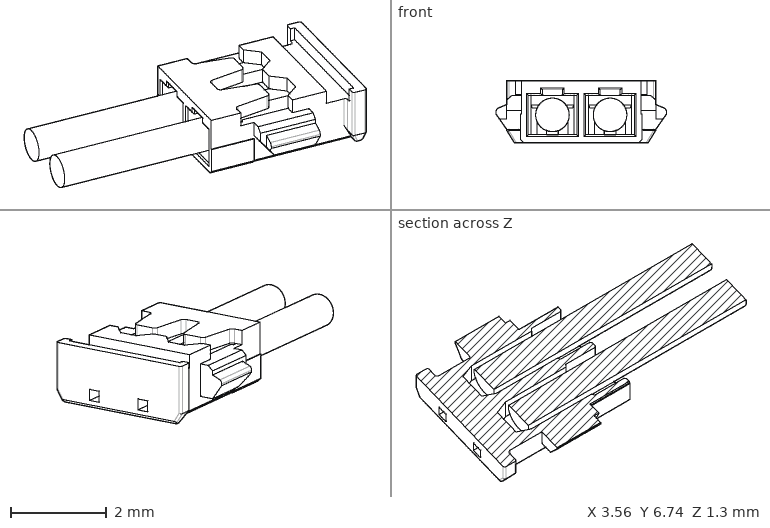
import cadquery as cq


HEIGHT = 1.3
LENGTH = 3.48
BODY_WIDTH = 2.5
BODY_EDGE_CHAMFER = 0.075
SKIRT_WIDTH = 2.54
SKIRT_LENGTH = 0.995
SKIRT_HEIGHT = 0.605

DECK_Z = 0.99
HOOD_LENGTH = 0.69
BRIDGE_FRONT_Y = 1.89
BRIDGE_REAR_Y = 2.685
GROOVE_Z = 1.01

FLANGE_WIDTH = 3.11
FLANGE_THICKNESS = 0.33
FLANGE_FRONT_Y = LENGTH - FLANGE_THICKNESS
FLANGE_EDGE_RADIUS = 0.05
FLANGE_ROOT_RADIUS = 0.055
FLANGE_REAR_CHAMFER = 0.075
FLANGE_TAPER_HEIGHT = 0.26
FLANGE_TAPER_INSET = 0.16
FLANGE_UNDERCUT_DEPTH = 0.14
FLANGE_POCKET_WIDTH = 2.75
FLANGE_POCKET_DEPTH = 0.1

LATCH_SPAN = 3.56
LATCH_FRONT_Y = SKIRT_LENGTH
LATCH_REAR_Y = 2.275
LATCH_BOTTOM_Z = 0.28
LATCH_SHOULDER_X = FLANGE_WIDTH / 2
LATCH_CHAMFER_WIDTH = 0.11
LATCH_CHAMFER_HEIGHT = 0.1
LATCH_RAMP_TOP_Z = 0.675
LATCH_RAMP_END_Y = 1.315
RIB_FRONT_Y = 1.135
RIB_TIP_X = LATCH_SPAN / 2
RIB_ROOT_Z = 0.8
RIB_CREST_X = 1.738
RIB_CREST_Z = 0.725
RIB_TIP_TOP_Z = 0.645
RIB_TIP_BOTTOM_Z = 0.605
RIB_ARC_MID = (1.768, 0.691)

PITCH = 1.2
CAVITY_X = (-PITCH / 2, PITCH / 2)
CAVITY_FLOOR_Z = 0.17
ENTRY_WIDTH = 1.015
ENTRY_LENGTH = 0.79
ENTRY_TAPER_LENGTH = 0.04
ENTRY_CHAMFER = 0.035
CHANNEL_WIDTH = 0.89
CHANNEL_END_Y = 2.4
THROAT_TOP_Z = 0.79
THROAT_CEILING_DROP = 0.063
THROAT_CEILING_RUN = 0.06
THROAT_END_WIDTH = 0.647
THROAT_LENGTH = 0.3
CONTACT_HOLE_WIDTH = 0.24
CONTACT_HOLE_HEIGHT = 0.24

KEYWAY_WIDTH = 0.42
KEYWAY_TOP_Z = 1.108
KEYWAY_RUN = 0.09

TONGUE_TIP_Y = 1.56
TONGUE_TIP_WIDTH = 0.52
TONGUE_ROOT_WIDTH = 0.78
TONGUE_RADIUS = 0.08
NOTCH_END_Y = 2.19
NOTCH_END_WIDTH = 0.39

WIRE_DIAMETER = 0.7
WIRE_Z = 0.583
WIRE_PROJECTION = 3.26


def box(width, y_start, y_end, z_start, z_end):
    """Box centred on X = 0 between the given Y and Z limits."""
    size = (width, y_end - y_start, z_end - z_start)
    return cq.Workplane("XY").box(*size, centered=(True, False, False)).translate((0, y_start, z_start))


def prism_z(points, z_start, z_end):
    """Extrude an XY outline between two heights."""
    return cq.Workplane("XY", origin=(0, 0, z_start)).polyline(points).close().extrude(z_end - z_start)


def prism_x(points, half_width):
    """Extrude a YZ outline symmetrically about X = 0."""
    return cq.Workplane("YZ").polyline(points).close().extrude(half_width, both=True)


def symmetric_trapezoid(x_center, y_start, width_start, y_end, width_end):
    """Corner points of a trapezoid that is symmetric about x_center."""
    return [
        (x_center - width_start / 2, y_start),
        (x_center + width_start / 2, y_start),
        (x_center + width_end / 2, y_end),
        (x_center - width_end / 2, y_end),
    ]


def make_body():
    """Housing block with its wider skirt; both have chamfered bottom edges."""
    body = box(BODY_WIDTH, 0, LENGTH, 0, HEIGHT).edges("|Y and <Z").chamfer(BODY_EDGE_CHAMFER)
    skirt = box(SKIRT_WIDTH, 0, SKIRT_LENGTH, 0, SKIRT_HEIGHT).edges("|Y and <Z").chamfer(BODY_EDGE_CHAMFER)
    return body.union(skirt)


def make_flange():
    """Rear flange with rounded upright edges, root fillets and a tapered, undercut foot."""
    half_width = FLANGE_WIDTH / 2
    half_body = BODY_WIDTH / 2
    root_y = FLANGE_FRONT_Y - FLANGE_ROOT_RADIUS
    foot_half_width = half_width - FLANGE_TAPER_INSET
    outline = [
        (-foot_half_width, 0),
        (foot_half_width, 0),
        (half_width, FLANGE_TAPER_HEIGHT),
        (half_width, HEIGHT),
        (-half_width, HEIGHT),
        (-half_width, FLANGE_TAPER_HEIGHT),
    ]
    plate = cq.Workplane("XZ", origin=(0, LENGTH, 0)).polyline(outline).close().extrude(FLANGE_THICKNESS)
    undercut_end_y = FLANGE_FRONT_Y + FLANGE_UNDERCUT_DEPTH
    undercut_slope = FLANGE_TAPER_HEIGHT / FLANGE_UNDERCUT_DEPTH
    root_undercut_z = FLANGE_TAPER_HEIGHT + undercut_slope * FLANGE_ROOT_RADIUS
    side_outline = [
        (root_y, HEIGHT),
        (root_y, root_undercut_z),
        (undercut_end_y, 0),
        (LENGTH, 0),
        (LENGTH, HEIGHT),
    ]
    side_envelope = prism_x(side_outline, half_width)
    plate = plate.intersect(side_envelope).edges("not(|X or |Y)").fillet(FLANGE_EDGE_RADIUS)

    root = box(BODY_WIDTH + 2 * FLANGE_ROOT_RADIUS, root_y, FLANGE_FRONT_Y, 0, GROOVE_Z)
    for side in (-1, 1):
        rounding = cq.Workplane("XY").circle(FLANGE_ROOT_RADIUS).extrude(HEIGHT)
        root = root.cut(rounding.translate((side * (half_body + FLANGE_ROOT_RADIUS), root_y, 0)))

    return plate.union(root.intersect(side_envelope))


def cut_rear_foot(part):
    """Carry the rear bottom chamfer of the flange across the body."""
    corner = [
        (LENGTH - FLANGE_REAR_CHAMFER, 0),
        (LENGTH, 0),
        (LENGTH, FLANGE_REAR_CHAMFER),
    ]
    return part.cut(prism_x(corner, FLANGE_WIDTH))


def make_latches():
    """Side latches: a chamfered shoulder with a rounded rib, and a ramped front."""
    shoulder = (
        cq.Workplane("XZ", origin=(0, LATCH_FRONT_Y, 0))
        .moveTo(0, LATCH_BOTTOM_Z)
        .lineTo(LATCH_SHOULDER_X, LATCH_BOTTOM_Z)
        .lineTo(LATCH_SHOULDER_X, DECK_Z - LATCH_CHAMFER_HEIGHT)
        .lineTo(LATCH_SHOULDER_X - LATCH_CHAMFER_WIDTH, DECK_Z)
        .lineTo(0, DECK_Z)
        .close()
        .extrude(LATCH_FRONT_Y - LATCH_REAR_Y)
    )
    rib = (
        cq.Workplane("XZ", origin=(0, RIB_FRONT_Y, 0))
        .moveTo(0, LATCH_BOTTOM_Z)
        .lineTo(LATCH_SHOULDER_X, LATCH_BOTTOM_Z)
        .lineTo(RIB_TIP_X, RIB_TIP_BOTTOM_Z)
        .lineTo(RIB_TIP_X, RIB_TIP_TOP_Z)
        .threePointArc(RIB_ARC_MID, (RIB_CREST_X, RIB_CREST_Z))
        .lineTo(LATCH_SHOULDER_X, RIB_ROOT_Z)
        .lineTo(0, RIB_ROOT_Z)
        .close()
        .extrude(RIB_FRONT_Y - LATCH_REAR_Y)
    )
    ramp_outline = [
        (LATCH_FRONT_Y, LATCH_RAMP_TOP_Z),
        (LATCH_RAMP_END_Y, LATCH_BOTTOM_Z),
        (LATCH_FRONT_Y, LATCH_BOTTOM_Z),
    ]
    latch = shoulder.union(rib).cut(prism_x(ramp_outline, RIB_TIP_X))
    return latch.union(latch.mirror("YZ"))


def cut_upper_side(part):
    """Open the deck around the tongues, the bridge notches, the groove and the flange pocket."""
    deck = box(FLANGE_WIDTH, HOOD_LENGTH, BRIDGE_FRONT_Y, DECK_Z, HEIGHT)
    for x in CAVITY_X:
        outline = symmetric_trapezoid(x, HOOD_LENGTH, TONGUE_ROOT_WIDTH, TONGUE_TIP_Y, TONGUE_TIP_WIDTH)
        deck = deck.cut(prism_z(outline, DECK_Z, HEIGHT))
    tongue_corner_zone = cq.selectors.BoxSelector(
        (-BODY_WIDTH / 2, HOOD_LENGTH - TONGUE_RADIUS, 0),
        (BODY_WIDTH / 2, TONGUE_TIP_Y + TONGUE_RADIUS, HEIGHT),
    )
    deck = deck.edges("|Z").edges(tongue_corner_zone).fillet(TONGUE_RADIUS)
    part = part.cut(deck)

    for x in CAVITY_X:
        outline = symmetric_trapezoid(x, BRIDGE_FRONT_Y, CHANNEL_WIDTH, NOTCH_END_Y, NOTCH_END_WIDTH)
        part = part.cut(prism_z(outline, DECK_Z, HEIGHT))

    part = part.cut(box(BODY_WIDTH, BRIDGE_REAR_Y, FLANGE_FRONT_Y, GROOVE_Z, HEIGHT))
    pocket_rear_y = FLANGE_FRONT_Y + FLANGE_POCKET_DEPTH
    return part.cut(box(FLANGE_POCKET_WIDTH, FLANGE_FRONT_Y, pocket_rear_y, GROOVE_Z, HEIGHT))


def make_mouth_flare(width, z_start, z_end):
    """Chamfered lead-in around a rectangular opening in the front face."""
    z_mid = (z_start + z_end) / 2
    height = z_end - z_start
    return (
        cq.Workplane("XZ", origin=(0, 0, z_mid))
        .rect(width + 2 * ENTRY_CHAMFER, height + 2 * ENTRY_CHAMFER)
        .workplane(offset=-ENTRY_CHAMFER)
        .rect(width, height)
        .loft()
    )


def make_cavity():
    """Wire cavity at X = 0: flared entry, channel, narrowing throat, contact hole and keyway."""
    entry = box(ENTRY_WIDTH, 0, ENTRY_LENGTH, CAVITY_FLOOR_Z, DECK_Z)
    channel_start_y = ENTRY_LENGTH + ENTRY_TAPER_LENGTH
    taper_outline = symmetric_trapezoid(0, ENTRY_LENGTH, ENTRY_WIDTH, channel_start_y, CHANNEL_WIDTH)
    taper = prism_z(taper_outline, CAVITY_FLOOR_Z, DECK_Z)
    channel = box(CHANNEL_WIDTH, channel_start_y, CHANNEL_END_Y, CAVITY_FLOOR_Z, DECK_Z)

    throat_end_y = CHANNEL_END_Y + THROAT_LENGTH
    throat_plan = symmetric_trapezoid(0, CHANNEL_END_Y, CHANNEL_WIDTH, throat_end_y, THROAT_END_WIDTH)
    throat_end_z = THROAT_TOP_Z - THROAT_CEILING_DROP
    throat_side = [
        (CHANNEL_END_Y, CAVITY_FLOOR_Z),
        (throat_end_y, CAVITY_FLOOR_Z),
        (throat_end_y, throat_end_z),
        (CHANNEL_END_Y + THROAT_CEILING_RUN, throat_end_z),
        (CHANNEL_END_Y, THROAT_TOP_Z),
    ]
    throat = prism_z(throat_plan, 0, HEIGHT).intersect(prism_x(throat_side, CHANNEL_WIDTH))

    contact_hole_top_z = CAVITY_FLOOR_Z + CONTACT_HOLE_HEIGHT
    contact_hole = box(CONTACT_HOLE_WIDTH, throat_end_y, LENGTH, CAVITY_FLOOR_Z, contact_hole_top_z)

    keyway_side = [
        (0, CAVITY_FLOOR_Z),
        (0, KEYWAY_TOP_Z),
        (ENTRY_CHAMFER, KEYWAY_TOP_Z),
        (ENTRY_CHAMFER + KEYWAY_RUN, DECK_Z),
        (ENTRY_CHAMFER + KEYWAY_RUN, CAVITY_FLOOR_Z),
    ]
    keyway = prism_x(keyway_side, KEYWAY_WIDTH / 2)

    cavity = entry.union(taper).union(channel).union(throat).union(contact_hole).union(keyway)
    cavity = cavity.union(make_mouth_flare(ENTRY_WIDTH, CAVITY_FLOOR_Z, DECK_Z))
    return cavity.union(make_mouth_flare(KEYWAY_WIDTH, CAVITY_FLOOR_Z, KEYWAY_TOP_Z))


def make_wire():
    """Round wire at X = 0, seated against the end wall of the channel."""
    return (
        cq.Workplane("XZ", origin=(0, CHANNEL_END_Y, WIRE_Z))
        .circle(WIRE_DIAMETER / 2)
        .extrude(CHANNEL_END_Y + WIRE_PROJECTION)
    )


housing = make_body().union(make_flange())
housing = cut_rear_foot(housing).union(make_latches())
housing = cut_upper_side(housing)
for cavity_x in CAVITY_X:
    housing = housing.cut(make_cavity().translate((cavity_x, 0, 0)))
    housing = housing.union(make_wire().translate((cavity_x, 0, 0)))

result = housing